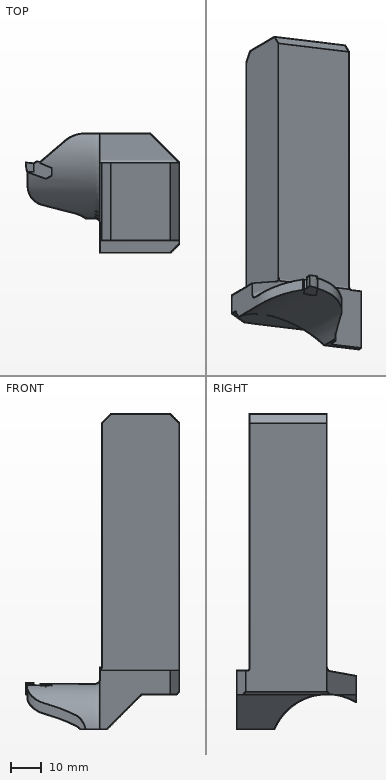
import cadquery as cq
import math


shank_size = 25.4
shank_chamfer = 3.0
total_height = 103.15
root_fillet = 1.2
front_root_fillet = 0.6

head_width = 26.0
head_back = 9.6
head_depth = 39.15
head_front = head_back - head_depth
head_height = 19.25
back_slope_drop = 1.75
front_corner_chamfer = 3.0
heel_height = 11.35
heel_chamfer = 1.0
heel_slope_bottom = -23.8
trim_allowance = 3.0

blade_radius = 18.7
blade_axis_z = -3.77
blade_thickness = 3.5
blade_root_fillet = 1.5
blade_tip = -49.75
blade_front_line = (-45.2, -13.8)
blade_front_angle = math.radians(14.5)
blade_nose_radius = 6.6
blade_root_radius = 9.0
blade_root_line_end = -33.9
blade_back_start = -34.6
blade_back_radius = 10.0
blade_back_end = (-45.5, 0.3)

insert_overhang = 50.36
insert_front_edge = -3.1
insert_body_top = 14.45
insert_land_top = 15.2
land_end = -47.6
land_front = -2.95
insert_outline = [
    (-insert_overhang, 0.1),
    (-50.1, -2.2),
    (blade_tip, insert_front_edge),
    (-43.7, -5.3),
    (-41.7, -4.2),
    (-41.7, -1.8),
    (-45.5, -0.2),
    blade_back_end,
    (-46.7, 0.4),
    (land_end, -0.2),
]


def block(x_min, x_max, y_min, y_max, z_min, z_max):
    size = (x_max - x_min, y_max - y_min, z_max - z_min)
    return cq.Workplane("XY").box(*size, centered=False).translate((x_min, y_min, z_min))


def blade_cylinder(axis_z):
    """Cylinder along X, long enough to pass the whole blade and head."""
    return (
        cq.Workplane("YZ")
        .center(0, axis_z)
        .circle(blade_radius)
        .extrude(-2 * insert_overhang)
        .translate((head_width, 0, 0))
    )


def root_fillet_bar(corner, outward, radius, ledge_slope, length):
    """Concave fillet along a shank wall, above a ledge that falls outward at the given slope.

    The bar runs from the corner along the direction outward x up.
    """
    reach = radius * math.tan((math.pi / 2 - ledge_slope) / 2)
    along = cq.Vector(*outward).cross(cq.Vector(0, 0, 1))
    section = cq.Plane(origin=corner, xDir=outward, normal=along)
    ledge_end = (reach * math.cos(ledge_slope), -reach * math.sin(ledge_slope))
    return (
        cq.Workplane(section)
        .lineTo(*ledge_end)
        .radiusArc((0, reach), radius)
        .close()
        .extrude(length)
    )


def make_shank_and_head():
    rough_left = -head_width - trim_allowance
    head = (
        cq.Workplane("YZ")
        .polyline(
            [
                (head_front, 0),
                (head_back, 0),
                (head_back, head_height - back_slope_drop),
                (0, head_height),
                (head_front, head_height),
            ]
        )
        .close()
        .extrude(rough_left)
    )
    shank = block(-shank_size, 0, -shank_size, 0, heel_height, total_height)
    shank = shank.faces(">Z").edges("|Y").chamfer(shank_chamfer)
    holder = head.union(shank)

    back_slope = math.atan2(back_slope_drop, head_back)
    back_left = (-head_width, 0, head_height)
    front_right = (0, -shank_size, head_height)
    front_left = (-shank_size, -shank_size, head_height)
    holder = holder.union(root_fillet_bar(back_left, (0, 1, 0), root_fillet, back_slope, head_width))
    holder = holder.union(root_fillet_bar(front_right, (0, -1, 0), front_root_fillet, 0, head_width))
    holder = holder.union(root_fillet_bar(front_left, (-1, 0, 0), root_fillet, 0, shank_size))
    holder = holder.cut(block(rough_left, -head_width, head_front, head_back, 0, 2 * head_height))

    heel = (
        cq.Workplane("XZ")
        .polyline(
            [
                (heel_slope_bottom, 0),
                (heel_slope_bottom + heel_height, heel_height),
                (-heel_chamfer, heel_height),
                (0, heel_height + heel_chamfer),
                (0, 0),
            ]
        )
        .close()
        .extrude(head_depth)
        .translate((0, head_back, 0))
    )
    holder = holder.cut(heel)

    for corner_y, inward, size in (
        (head_back, -1, head_back),
        (head_front, 1, front_corner_chamfer),
    ):
        corner = (
            cq.Workplane("XY")
            .polyline([(0, corner_y), (-size, corner_y), (0, corner_y + inward * size)])
            .close()
            .extrude(2 * head_height)
        )
        holder = holder.cut(corner)
    return holder


def blade_outline():
    """Plan outline of the blade, reaching into the head on the right."""
    line_slope = math.tan(blade_front_angle)

    nose_corner_y = blade_front_line[1] + (blade_front_line[0] - blade_tip) * line_slope
    nose_tangent = blade_nose_radius * math.tan((math.pi / 2 - blade_front_angle) / 2)
    nose_start = (blade_tip, nose_corner_y + nose_tangent)
    nose_end = (
        blade_tip + nose_tangent * math.cos(blade_front_angle),
        nose_corner_y - nose_tangent * math.sin(blade_front_angle),
    )

    root_start_y = blade_front_line[1] - (blade_root_line_end - blade_front_line[0]) * line_slope
    root_start = (blade_root_line_end, root_start_y)
    root_center = (
        root_start[0] - blade_root_radius * math.sin(blade_front_angle),
        root_start[1] - blade_root_radius * math.cos(blade_front_angle),
    )
    root_mid_angle = (math.pi / 2 - blade_front_angle) / 2
    root_mid = (
        root_center[0] + blade_root_radius * math.cos(root_mid_angle),
        root_center[1] + blade_root_radius * math.sin(root_mid_angle),
    )
    root_end = (root_center[0] + blade_root_radius, root_center[1])

    back_angle = math.atan2(head_back - blade_back_end[1], blade_back_start - blade_back_end[0])
    back_tangent = blade_back_radius * math.tan(back_angle / 2)
    back_arc_start = (blade_back_start + back_tangent, head_back)
    back_arc_end = (
        blade_back_start - back_tangent * math.cos(back_angle),
        head_back - back_tangent * math.sin(back_angle),
    )
    inside_head = -head_width + blade_root_fillet
    return (
        cq.Workplane("XY")
        .moveTo(inside_head, head_back)
        .lineTo(*back_arc_start)
        .tangentArcPoint(back_arc_end, relative=False)
        .lineTo(*blade_back_end)
        .lineTo(blade_tip, insert_front_edge)
        .lineTo(*nose_start)
        .tangentArcPoint(nose_end, relative=False)
        .lineTo(*root_start)
        .threePointArc(root_mid, root_end)
        .lineTo(inside_head, root_end[1])
        .close()
    )


def make_blade():
    return blade_outline().extrude(head_height).intersect(blade_cylinder(blade_axis_z))


def root_flare():
    """Concave fillet ring between the blade surface and the left face of the head."""
    outer = blade_radius + blade_root_fillet
    arc_reach = blade_root_fillet * (1 - math.sqrt(0.5))
    ring = (
        cq.Workplane("XY")
        .moveTo(-head_width - blade_root_fillet, 0)
        .lineTo(-head_width - blade_root_fillet, blade_radius)
        .threePointArc((-head_width - arc_reach, blade_radius + arc_reach), (-head_width, outer))
        .lineTo(-head_width, 0)
        .close()
        .revolve(360, (0, 0, 0), (1, 0, 0))
        .translate((0, 0, blade_axis_z))
    )
    return ring.intersect(block(-insert_overhang, 0, head_front, head_back, 0, head_height))


def insert_prism(height):
    """Plan outline of the insert, extruded up from Z = 0."""
    return cq.Workplane("XY").polyline(insert_outline).close().extrude(height)


under_blade = blade_cylinder(blade_axis_z - blade_thickness)

holder = make_shank_and_head().union(make_blade()).union(root_flare())
holder = holder.cut(under_blade).cut(insert_prism(head_height))

insert = insert_prism(insert_land_top).cut(under_blade)
insert = insert.cut(block(land_end, 0, head_front, head_back, insert_body_top, head_height))
insert = insert.cut(block(-insert_overhang, land_end, head_front, land_front, insert_body_top, head_height))

result = cq.Compound.makeCompound([holder.solids().val(), insert.solids().val()])